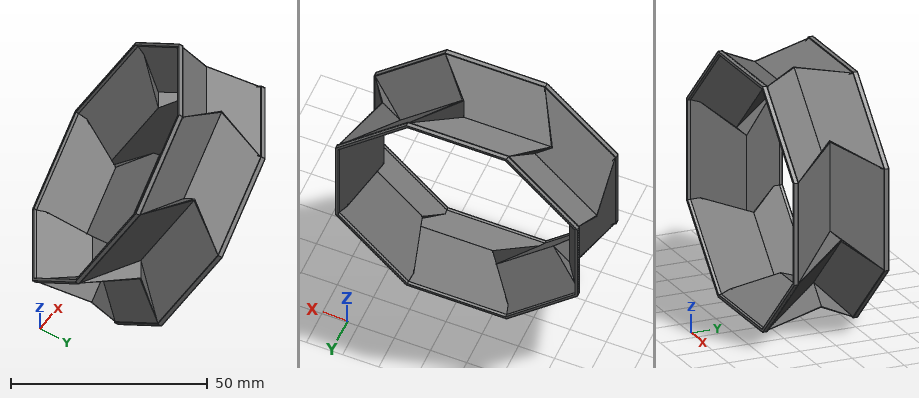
import cadquery as cq
import math

side_count = 8
width_across_flats = 66.8
total_depth = 26.4
rim_depth = 1.2
rim_wall = 0.75
panel_inset = 0.3
fold_depth = 6.9
pleat_shift = 10.15
sheet_thickness = 0.6

rim_apothem = width_across_flats / 2
panel_apothem = rim_apothem - panel_inset
rim_end = total_depth / 2
fold_height = rim_end - rim_depth
bore_apothem = rim_apothem - rim_wall
fold_slope = fold_depth / fold_height
half_angle = math.pi / side_count
turn_angle = 2 * half_angle

panel_offset = sheet_thickness * math.hypot(fold_depth, fold_height) / fold_height
facet_offset = sheet_thickness * math.hypot(pleat_shift, fold_height) / fold_height

inner_mid_apothem = panel_apothem - fold_depth - panel_offset
bore_start = (bore_apothem - inner_mid_apothem) / fold_slope


def octagon(apothem, y):
    """Corners of a regular octagon across the Y axis, with flats facing +/-X and +/-Z."""
    radius = apothem / math.cos(half_angle)
    corners = []
    for i in range(side_count):
        angle = (2 * i + 1) * half_angle
        corners.append(cq.Vector(radius * math.cos(angle), y, radius * math.sin(angle)))
    return corners


def polyhedron(loops):
    """Flat-faced solid bounded by the given corner loops."""
    faces = [cq.Face.makeFromWires(cq.Wire.makePolygon(loop, close=True)) for loop in loops]
    return cq.Workplane(obj=cq.Solid.makeSolid(cq.Shell.makeShell(faces)))


def frustum(start_apothem, start_y, end_apothem, end_y):
    """Octagonal frustum along Y; equal apothems give a prism."""
    start = octagon(start_apothem, start_y)
    end = octagon(end_apothem, end_y)
    loops = [start, end]
    for i in range(side_count):
        loops.append([start[i - 1], start[i], end[i], end[i - 1]])
    return polyhedron(loops)


def tetrahedron(corners):
    loops = []
    for skipped in corners:
        loops.append([corner for corner in corners if corner is not skipped])
    return polyhedron(loops)


def pleat(mid_apothem, facet_z):
    """Spike of the -X side: the panel before it runs on past their shared corner to the facet.

    The base lies at mid depth, between the lines of both panels and the facet.
    """
    corner_z = mid_apothem * math.tan(half_angle)
    run = corner_z - facet_z
    corner = cq.Vector(-mid_apothem, 0, corner_z)
    facet_inner = cq.Vector(-mid_apothem, 0, facet_z)
    facet_outer = cq.Vector(-mid_apothem - run / math.tan(turn_angle), 0, facet_z)
    facet_rate = pleat_shift / fold_height
    mitre_rate = fold_slope * math.tan(half_angle)
    apex_y = run / (facet_rate - mitre_rate)
    apex_apothem = mid_apothem + fold_slope * apex_y
    apex = cq.Vector(-apex_apothem, apex_y, apex_apothem * math.tan(half_angle))
    return tetrahedron([corner, facet_inner, facet_outer, apex])


def folded_half(mid_apothem, height, facet_shift):
    """Solid enclosed by one skin of the folded sheet, from mid depth up to the given height."""
    facet_z = panel_apothem * math.tan(half_angle) - pleat_shift + facet_shift
    half = frustum(mid_apothem, 0, mid_apothem + fold_slope * height, height)
    spike = pleat(mid_apothem, facet_z)
    for i in range(side_count):
        half = half.union(spike.rotate((0, 0, 0), (0, 1, 0), i * math.degrees(turn_angle)))
    return half.clean()


outer_half = folded_half(panel_apothem - fold_depth, fold_height, 0)
outer_half = outer_half.intersect(frustum(panel_apothem, 0, panel_apothem, fold_height))

rim = frustum(rim_apothem, fold_height, rim_apothem, rim_end)

inner_half = folded_half(inner_mid_apothem, bore_start, facet_offset)
bore = frustum(bore_apothem, bore_start, bore_apothem, rim_end)

half_ring = outer_half.union(rim).cut(inner_half).cut(bore)
result = half_ring.union(half_ring.mirror("XZ")).clean()